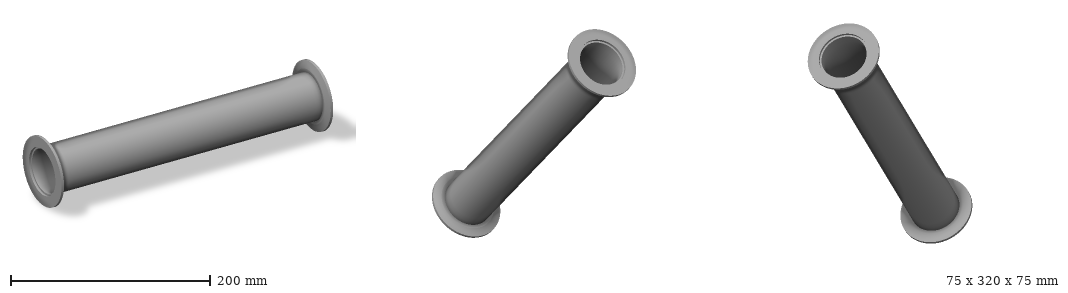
import cadquery as cq
import math

length = 320.0
flange_diameter = 75.0
tube_diameter = 51.0
bore_diameter = 47.5

rim_thickness = 3.0
taper_angle = 15.0
shoulder_diameter = 58.2
recess_diameter = 51.2
recess_depth = 2.5

taper_run = (flange_diameter - shoulder_diameter) / 2
flange_thickness = rim_thickness + taper_run * math.tan(math.radians(taper_angle))


def cylinder_along_y(diameter, height):
    """Cylinder centred on the origin with its axis along Y."""
    return cq.Workplane("XZ").circle(diameter / 2).extrude(height / 2, both=True)


def make_flange():
    """Solid flange at the -Y end, turned about the Y axis."""
    face_y = -length / 2
    profile = [
        (0, face_y),
        (flange_diameter / 2, face_y),
        (flange_diameter / 2, face_y + rim_thickness),
        (shoulder_diameter / 2, face_y + flange_thickness),
        (0, face_y + flange_thickness),
    ]
    return cq.Workplane("XY").polyline(profile).close().revolve(360, (0, 0, 0), (0, 1, 0))


def make_recess():
    """Centering recess cut into the -Y flange face."""
    recess = cylinder_along_y(recess_diameter, recess_depth)
    return recess.translate((0, (recess_depth - length) / 2, 0))


def at_both_ends(end_feature):
    """Join an end feature with its mirror image at the +Y end."""
    return end_feature.union(end_feature.mirror("XZ"))


tube = cylinder_along_y(tube_diameter, length)
bore = cylinder_along_y(bore_diameter, length)

result = tube.union(at_both_ends(make_flange())).cut(bore).cut(at_both_ends(make_recess()))